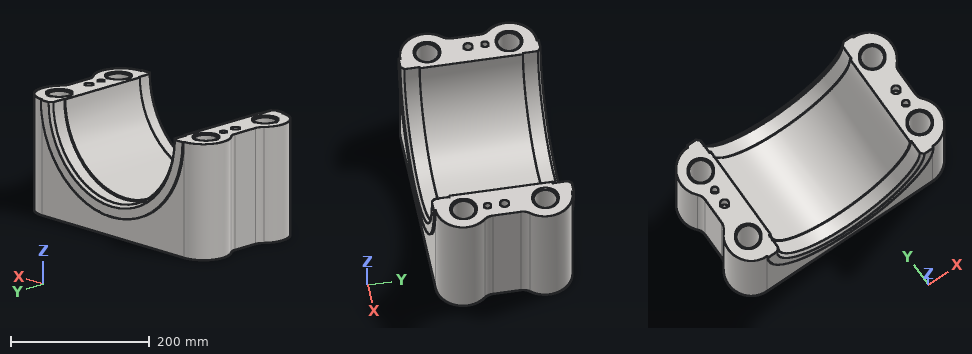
import cadquery as cq
import math

length = 370.0
height = 175.0
body_depth = 199.7
overall_depth = 205.0

lobe_radius = 40.0
lobe_x = length / 2 - lobe_radius
lobe_y = body_depth / 2 - lobe_radius
waist_x = 169.7
waist_fillet = 18.5

bore_radius = 122.0
land_radius = 124.3
land_start_y = 75.5
mouth_chamfer = 4.8
ring_radius = lobe_x

hole_x = 150.0
bolt_hole_y = 60.0
bolt_hole_diameter = 34.0
bolt_mouth_diameter = 38.5

dowel_diameter = 13.0
pin_diameter = 10.5
pin_y = 24.8
blind_depth = 26.0
drill_tip_angle = 118.0


def make_body():
    """Block with a round lobe at each corner and a waist at each end."""
    body = cq.Workplane("XY").box(2 * lobe_x, body_depth, height, centered=(True, True, False))
    waist = cq.Workplane("XY").box(2 * waist_x, 2 * lobe_y, height, centered=(True, True, False))
    corners = [(sx * lobe_x, sy * lobe_y) for sx in (-1, 1) for sy in (-1, 1)]
    lobes = cq.Workplane("XY").pushPoints(corners).circle(lobe_radius).extrude(height)
    body = body.union(waist).union(lobes)

    corner_y = lobe_y - math.sqrt(lobe_radius**2 - (waist_x - lobe_x) ** 2)
    margin = 0.5
    for side in (-1, 1):
        near_corner = cq.selectors.BoxSelector(
            (side * (waist_x - margin), -corner_y - margin, 0),
            (side * (waist_x + margin), corner_y + margin, height),
        )
        body = body.edges("|Z").edges(near_corner).fillet(waist_fillet)
    return body.translate((0, 0, -height))


def cylinder_along_y(radius, depth):
    """Cylinder on the bore axis, centred on the middle of the part."""
    return cq.Workplane("XZ").circle(radius).extrude(depth / 2, both=True)


def make_end_rings():
    """Half disc that stands proud of both flat faces."""
    lower_half = cq.Workplane("XY").box(length, overall_depth, height, centered=(True, True, False))
    disc = cylinder_along_y(ring_radius, overall_depth)
    return disc.intersect(lower_half.translate((0, 0, -height)))


def make_bore():
    """Stepped bore with a chamfered mouth at both ends, revolved about Y."""
    end_y = overall_depth / 2
    mouth_y = end_y - mouth_chamfer
    mouth_radius = land_radius + mouth_chamfer
    profile = [
        (0, -end_y),
        (mouth_radius, -end_y),
        (land_radius, -mouth_y),
        (land_radius, -land_start_y),
        (bore_radius, -land_start_y),
        (bore_radius, land_start_y),
        (land_radius, land_start_y),
        (land_radius, mouth_y),
        (mouth_radius, end_y),
        (0, end_y),
    ]
    return cq.Workplane("XY").polyline(profile).close().revolve(360, (0, 0, 0), (0, 1, 0))


def make_bolt_hole(x, y):
    """Through hole with a 45 degree chamfer at the joint face."""
    radius = bolt_hole_diameter / 2
    mouth_radius = bolt_mouth_diameter / 2
    chamfer = mouth_radius - radius
    profile = [(0, 0), (mouth_radius, 0), (radius, -chamfer), (radius, -height), (0, -height)]
    return revolve_about_z(profile, x, y)


def make_blind_hole(diameter, x, y):
    """Drilled hole with a conical tip."""
    radius = diameter / 2
    tip = radius / math.tan(math.radians(drill_tip_angle / 2))
    profile = [(0, 0), (radius, 0), (radius, -blind_depth), (0, -blind_depth - tip)]
    return revolve_about_z(profile, x, y)


def revolve_about_z(profile, x, y):
    """Turn a (radius, height) profile about a vertical axis at x, y."""
    solid = cq.Workplane("XZ").polyline(profile).close().revolve(360, (0, 0, 0), (0, 1, 0))
    return solid.translate((x, y, 0))


result = make_body().union(make_end_rings()).cut(make_bore())
for side in (-1, 1):
    for end in (-1, 1):
        result = result.cut(make_bolt_hole(side * hole_x, end * bolt_hole_y))
    result = result.cut(make_blind_hole(dowel_diameter, side * hole_x, 0))
    result = result.cut(make_blind_hole(pin_diameter, side * hole_x, -side * pin_y))